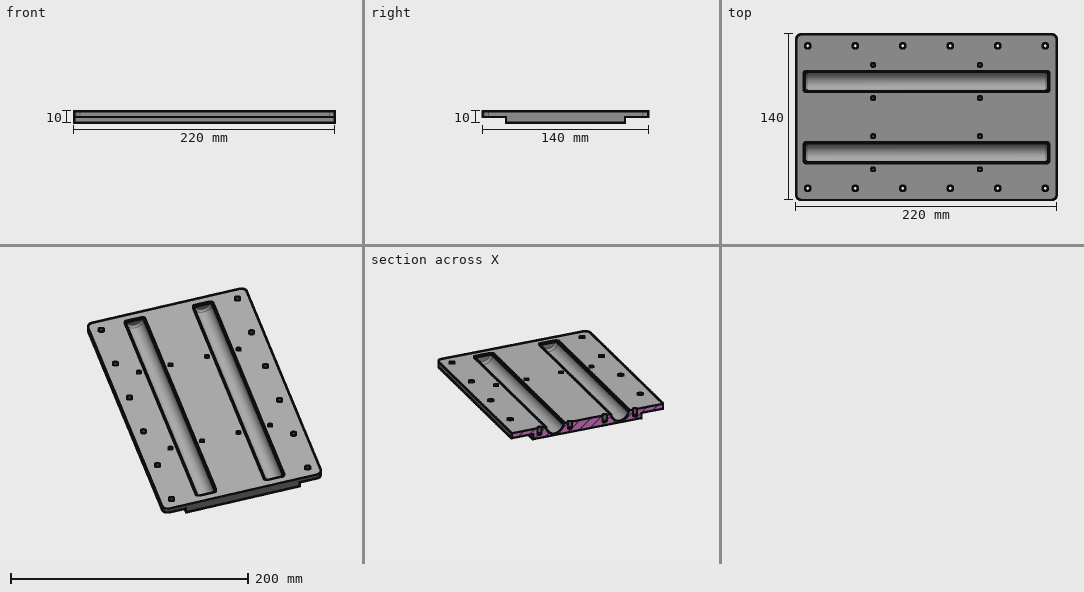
import cadquery as cq
import math

length = 220
width = 140.0
total_height = 10.0
flange_thickness = 5.0
corner_radius = 4.8

block_width = 100.3

trough_pitch = 60.0
trough_length = 207.2
trough_width = 18.0
trough_corner_radius = 2.6
rim_chamfer = 1.0
trough_radius = trough_width / 2 - rim_chamfer
end_fillet = 2.0

mount_diameter = 4.5
mount_columns = 6
mount_pitch = 40.0
mount_row_spacing = 120.1

blind_diameter = 3.3
blind_depth = 6.0
blind_tip_angle = 118
blind_spacing_x = 90.0
blind_spacing_y = 28.0

trough_centers = [-trough_pitch / 2, trough_pitch / 2]


def make_plate():
    flange = (
        cq.Workplane("XY")
        .rect(length, width)
        .extrude(-flange_thickness)
        .edges("|Z")
        .fillet(corner_radius)
    )
    block = cq.Workplane("XY").rect(length, block_width).extrude(-total_height)
    return flange.union(block)


def make_trough(center_y):
    """Half-round channel with filleted ends and a chamfered, round-cornered rim."""
    inner_length = trough_length - 2 * rim_chamfer
    channel = (
        cq.Workplane("YZ")
        .circle(trough_radius)
        .extrude(inner_length / 2, both=True)
        .faces("<X or >X")
        .edges()
        .fillet(end_fillet)
    )
    lower_half = cq.Workplane("XY").rect(length, width).extrude(-total_height)
    rim = (
        cq.Workplane("XY")
        .sketch()
        .rect(trough_length, trough_width)
        .vertices()
        .fillet(trough_corner_radius)
        .finalize()
        .extrude(-rim_chamfer, taper=45)
    )
    return channel.intersect(lower_half).union(rim).translate((0, center_y, 0))


def make_blind_hole():
    """Drilled hole with a conical tip, measured to the end of its straight wall."""
    radius = blind_diameter / 2
    tip_height = radius / math.tan(math.radians(blind_tip_angle / 2))
    return (
        cq.Workplane("XZ")
        .lineTo(radius, 0)
        .lineTo(radius, -blind_depth)
        .lineTo(0, -blind_depth - tip_height)
        .close()
        .revolve(360, (0, 0), (0, 1))
        .val()
    )


result = make_plate()

for center_y in trough_centers:
    result = result.cut(make_trough(center_y))

mount_holes = (
    cq.Workplane("XY")
    .rarray(mount_pitch, mount_row_spacing, mount_columns, 2)
    .circle(mount_diameter / 2)
    .extrude(-total_height)
)
result = result.cut(mount_holes)

for center_y in trough_centers:
    blind_holes = (
        cq.Workplane("XY")
        .center(0, center_y)
        .rarray(blind_spacing_x, blind_spacing_y, 2, 2)
        .eachpoint(make_blind_hole())
    )
    result = result.cut(blind_holes)